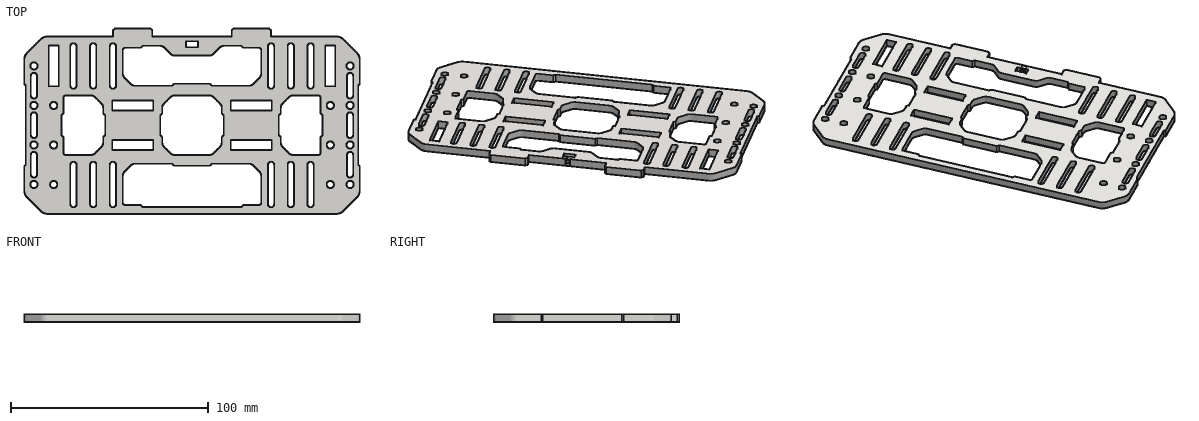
import cadquery as cq

length = 170
width = 90.0
overall_width = 94.0
thickness = 4.0
corner_chamfer = 9.9
corner_radius = 5.1
side_recess_depth = 0.8

pitch = length / 8.5
half_pitch = pitch / 2
side_recess_length = 2 * pitch

tab_length = pitch
tab_x = 1.5 * pitch
tab_chamfer = 1.0

hole_diameter = 3.5
outer_column_x = 4 * pitch
inner_column_x = 3.5 * pitch
slot_row_y = 1.5 * pitch

slot_width = 3.0
side_slot_length = 13.0
long_slot_length = 23.0
strap_slot_length = 20.5
strap_slot_width = 5.0
strap_slot_x = 1.5 * pitch
key_slot_length = 6.0
key_slot_width = 2.9
key_slot_y = 41.0
passage_width = 2.5
passage_height = 3.0

window_width = 1.5 * pitch
window_chamfer = 5.0
window_radius = 3.0
sharp_corner_radius = 1.0
relief = 1.0
relief_length = half_pitch
centre_window_length = 1.5 * pitch
end_window_length = pitch
end_window_x = 2.75 * pitch

long_window_half = 1.75 * pitch
rear_window_inner_y = pitch
rear_window_outer_y = 39.1
front_window_inner_y = -19.5
front_window_outer_y = -40.3
outer_relief_half = 1.25 * pitch
inner_bump_half = 9.0
rear_bump_half = half_pitch
rear_bump_depth = 5.0


def prism(points):
    return cq.Workplane("XY").polyline(points).close().extrude(thickness)


def block(x_size, y_size, centre=(0, 0)):
    return cq.Workplane("XY").center(*centre).rect(x_size, y_size).extrude(thickness)


def both_sides(half_points):
    """Close a half outline, given on +X, with its mirror image in the YZ plane."""
    return half_points + [(-x, y) for x, y in reversed(half_points)]


def round_edges_at(solid, points, radius):
    """Round the vertical edges that stand at the given points."""
    reach = 0.2
    for x, y in points:
        near = cq.selectors.BoxSelector((x - reach, y - reach, 0), (x + reach, y + reach, thickness))
        solid = solid.edges(near).edges("|Z").fillet(radius)
    return solid


def ramped_strip(x, depth, floor_length):
    """Shallow strip on a wall at x, going depth along X, with 45 degree ramps at both ends."""
    half = floor_length / 2
    half_mouth = half + abs(depth)
    return prism([(x, -half_mouth), (x + depth, -half), (x + depth, half), (x, half_mouth)])


def make_plate():
    plate = block(length, width).edges("|Z").chamfer(corner_chamfer).edges("|Z").fillet(corner_radius)
    for side in (-1, 1):
        plate = plate.cut(ramped_strip(side * length / 2, -side * side_recess_depth, side_recess_length))
        tab_end = overall_width - width / 2
        tab = block(tab_length, tab_end, (side * tab_x, tab_end / 2))
        plate = plate.union(tab.faces(">Y").edges("|Z").chamfer(tab_chamfer))
    return plate


def make_window(half_length, square_end=False):
    """Window about the origin with cut corners on +X and a shallow relief in each end wall.

    The -X corners are cut as well, unless that end is square.
    """
    half_width = window_width / 2
    cut_x = half_length - window_chamfer
    cut_y = half_width - window_chamfer
    right = [(cut_x, -half_width), (half_length, -cut_y), (half_length, cut_y), (cut_x, half_width)]
    if square_end:
        left = [(-half_length, half_width), (-half_length, -half_width)]
        left_radius = sharp_corner_radius
    else:
        left = [(-x, y) for x, y in reversed(right)]
        left_radius = window_radius
    window = round_edges_at(prism(right + left), right, window_radius)
    window = round_edges_at(window, left, left_radius)
    for side in (-1, 1):
        window = window.union(ramped_strip(side * half_length, side * relief, relief_length))
    return window


def make_rear_window():
    inner, outer = rear_window_inner_y, rear_window_outer_y
    relieved = outer + relief
    slope_bottom = relieved - rear_bump_depth
    half = [
        (inner_bump_half, inner + relief),
        (inner_bump_half + relief, inner),
        (long_window_half - window_chamfer, inner),
        (long_window_half, inner + window_chamfer),
        (long_window_half, outer),
        (outer_relief_half + relief, outer),
        (outer_relief_half, relieved),
        (rear_bump_half + rear_bump_depth, relieved),
        (rear_bump_half, slope_bottom),
    ]
    window = round_edges_at(prism(both_sides(half)), both_sides(half[2:4] + half[7:9]), window_radius)
    return round_edges_at(window, both_sides(half[4:5]), sharp_corner_radius)


def make_front_window():
    inner, outer = front_window_inner_y, front_window_outer_y
    half = [
        (inner_bump_half, inner - relief),
        (inner_bump_half + relief, inner),
        (long_window_half - window_chamfer, inner),
        (long_window_half, inner - window_chamfer),
        (long_window_half, outer),
        (outer_relief_half + relief, outer),
        (outer_relief_half, outer - relief),
    ]
    window = round_edges_at(prism(both_sides(half)), both_sides(half[2:4]), window_radius)
    return round_edges_at(window, both_sides(half[4:5]), sharp_corner_radius)


def holes(points):
    return cq.Workplane("XY").pushPoints(points).circle(hole_diameter / 2).extrude(thickness)


def round_slots(points, slot_length):
    return cq.Workplane("XY").pushPoints(points).slot2D(slot_length, slot_width, 90).extrude(thickness)


def make_passage():
    """Horizontal rectangular passage at mid thickness, from the key slot out through the +Y edge."""
    start = cq.Workplane("XZ", origin=(0, key_slot_y, thickness / 2))
    return start.rect(passage_width, passage_height).extrude(key_slot_y - width / 2)


result = make_plate()

result = result.cut(make_window(centre_window_length / 2))
end_window = make_window(end_window_length / 2, square_end=True).translate((-end_window_x, 0, 0))
result = result.cut(end_window).cut(end_window.mirror("YZ"))
result = result.cut(make_rear_window()).cut(make_front_window())
result = result.cut(block(key_slot_length, key_slot_width, (0, key_slot_y)))
result = result.cut(make_passage())

for side in (-1, 1):
    outer_x = side * outer_column_x
    inner_x = side * inner_column_x
    result = result.cut(holes([(outer_x, row * half_pitch) for row in (-3, -1, 1, 3)]))
    result = result.cut(holes([(inner_x, row * half_pitch) for row in (-3, -1, 1)]))
    result = result.cut(round_slots([(outer_x, row * pitch) for row in (-1, 0, 1)], side_slot_length))

    long_slots = [(side * n * half_pitch, y) for n in (4, 5, 6) for y in (-slot_row_y, slot_row_y)]
    result = result.cut(round_slots(long_slots, long_slot_length))

    result = result.cut(block(strap_slot_width, strap_slot_length, (inner_x, slot_row_y)))
    for y in (-half_pitch, half_pitch):
        result = result.cut(block(strap_slot_length, strap_slot_width, (side * strap_slot_x, y)))